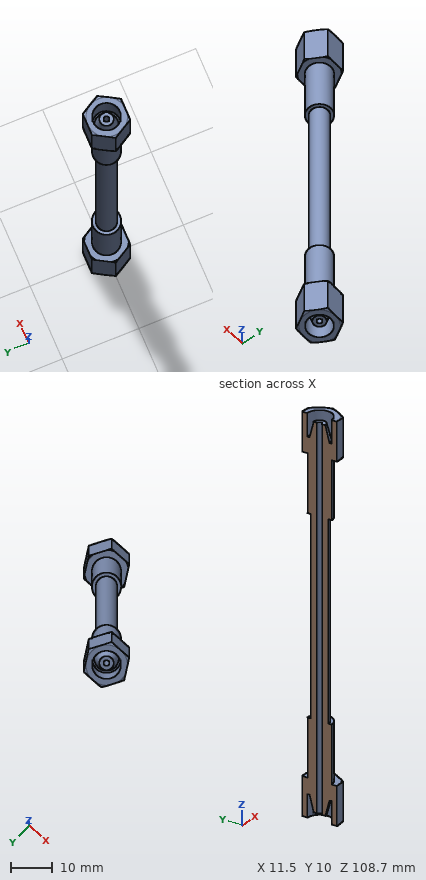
import cadquery as cq
import math

total_length = 108.7
half_length = total_length / 2

hose_diameter = 5.2
sleeve_diameter = 7.1
sleeve_end_depth = 27.0
through_bore_diameter = 1.4

nut_across_flats = 10.0
nut_across_corners = nut_across_flats / math.cos(math.radians(30))
nut_length = 10.9
outer_bevel_circle_diameter = 10.0
inner_bevel_circle_diameter = 10.7
outer_bevel_height = 0.2
inner_bevel_height = 0.2

socket_diameter = 7.0
nose_tip_diameter = 3.5
nose_base_diameter = 5.9
nose_tip_depth = 1.8
nose_half_angle = 15.0
nose_height = (nose_base_diameter - nose_tip_diameter) / 2 / math.tan(math.radians(nose_half_angle))
socket_depth = nose_tip_depth + nose_height


def cylinder(diameter, z_bottom, z_top):
    return cq.Workplane("XY").workplane(offset=z_bottom).circle(diameter / 2).extrude(z_top - z_bottom)


def revolve_profile(points):
    """Revolve a closed (radius, z) outline about the Z axis."""
    return cq.Workplane("XZ").polyline(points).close().revolve(360, (0, 0, 0), (0, 1, 0))


def make_nut():
    """Hexagonal nut with its corners bevelled at both ends."""
    nut_bottom = half_length - nut_length
    hexagon = (
        cq.Workplane("XY").workplane(offset=nut_bottom)
        .polygon(6, nut_across_corners).extrude(nut_length)
    )
    corner_radius = nut_across_corners / 2
    outer_bevel_radius = outer_bevel_circle_diameter / 2
    inner_bevel_radius = inner_bevel_circle_diameter / 2
    bevel_envelope = revolve_profile([
        (0, nut_bottom),
        (inner_bevel_radius, nut_bottom),
        (corner_radius, nut_bottom + inner_bevel_height),
        (corner_radius, half_length - outer_bevel_height),
        (outer_bevel_radius, half_length),
        (0, half_length),
    ])
    return hexagon.intersect(bevel_envelope)


def make_nose():
    """Conical sealing nose on the socket floor."""
    nose_base = half_length - socket_depth
    nose_tip = half_length - nose_tip_depth
    return revolve_profile([
        (0, nose_base),
        (nose_base_diameter / 2, nose_base),
        (nose_tip_diameter / 2, nose_tip),
        (0, nose_tip),
    ])


def make_fitting():
    """Upper end fitting: sleeve, nut, socket and nose."""
    sleeve = cylinder(sleeve_diameter, half_length - sleeve_end_depth, half_length - nut_length)
    socket = cylinder(socket_diameter, half_length - socket_depth, half_length)
    return make_nut().union(sleeve).cut(socket).union(make_nose())


upper_fitting = make_fitting()
lower_fitting = upper_fitting.mirror("XY")
hose_half_length = half_length - sleeve_end_depth
hose = cylinder(hose_diameter, -hose_half_length, hose_half_length)
through_bore = cylinder(through_bore_diameter, -half_length, half_length)

result = hose.union(upper_fitting).union(lower_fitting).cut(through_bore)